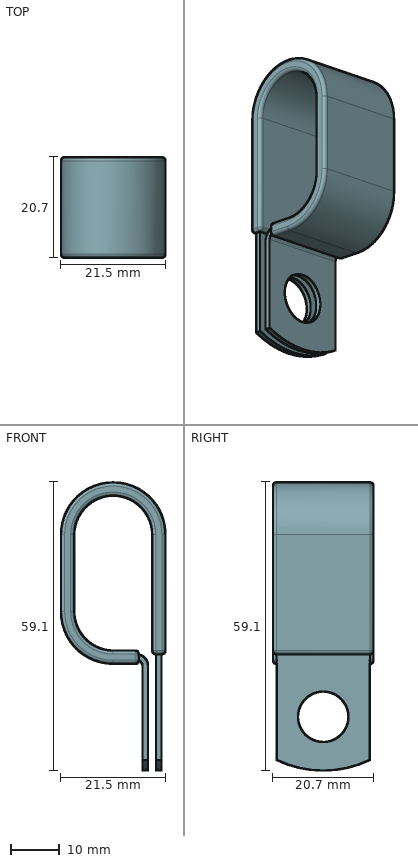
import cadquery as cq
import math

total_height = 59.15
loop_width = 21.45
cushion_depth = 20.65

cushion_thickness = 2.8
edge_radius = 0.75
side_straight = 15.8
lower_arm = 5.25
right_leg = 24.55

strap_thickness = 1.2
tab_gap = 1.6
tab_bend_radius = 1.8
tab_end_sagitta = 2.2
hole_diameter = 10.3
hole_height = 11.05

outer_radius = loop_width / 2
mid_radius = outer_radius - cushion_thickness / 2
strap_depth = cushion_depth - 2 * edge_radius
tab_bottom = outer_radius - total_height
lower_arm_z = -side_straight - mid_radius
tab_spacing = strap_thickness + tab_gap
left_tab_x = mid_radius - tab_spacing


def cushion_band():
    """Band around the loop from the right leg to the end of the lower arm."""
    outer = outer_radius
    inner = outer_radius - cushion_thickness
    diagonal = math.sqrt(0.5)
    return (
        cq.Workplane("XZ")
        .moveTo(outer, -right_leg)
        .lineTo(outer, 0)
        .threePointArc((0, outer), (-outer, 0))
        .lineTo(-outer, -side_straight)
        .threePointArc((-outer * diagonal, -side_straight - outer * diagonal), (0, -side_straight - outer))
        .lineTo(lower_arm, -side_straight - outer)
        .lineTo(lower_arm, -side_straight - inner)
        .lineTo(0, -side_straight - inner)
        .threePointArc((-inner * diagonal, -side_straight - inner * diagonal), (-inner, -side_straight))
        .lineTo(-inner, 0)
        .threePointArc((0, inner), (inner, 0))
        .lineTo(inner, -right_leg)
        .close()
        .extrude(cushion_depth / 2, both=True)
    )


def rounded_cushion():
    """Cushion band with both rims and both end faces rounded."""
    band = cushion_band()
    leg_end = cq.selectors.NearestToPointSelector((mid_radius, 0, -right_leg))
    arm_end = cq.selectors.NearestToPointSelector((lower_arm, 0, lower_arm_z))
    rims = band.faces("<Y or >Y").edges()
    ends = band.faces(leg_end).edges("|Y").add(band.faces(arm_end).edges("|Y"))
    return rims.add(ends).fillet(edge_radius)


def left_tab():
    """Tab that leaves the lower arm and bends down through a right angle."""
    bend_start_x = left_tab_x - tab_bend_radius
    bend_z = lower_arm_z - tab_bend_radius
    path = (
        cq.Workplane("XZ")
        .moveTo(0, lower_arm_z)
        .lineTo(bend_start_x, lower_arm_z)
        .radiusArc((left_tab_x, bend_z), tab_bend_radius)
        .lineTo(left_tab_x, tab_bottom)
    )
    section = cq.Workplane("YZ").center(0, lower_arm_z).rect(strap_depth, strap_thickness)
    return section.sweep(path)


def right_tab():
    """Straight tab continuing down from the right leg."""
    height = -tab_bottom
    tab = cq.Workplane("XY").box(strap_thickness, strap_depth, height)
    return tab.translate((mid_radius, 0, -height / 2))


def tab_outline():
    """Envelope with the curved lower end and the bolt hole, across both tabs."""
    half = strap_depth / 2
    corner_z = tab_bottom + tab_end_sagitta
    return (
        cq.Workplane("YZ")
        .moveTo(-half, 0)
        .lineTo(-half, corner_z)
        .threePointArc((0, tab_bottom), (half, corner_z))
        .lineTo(half, 0)
        .close()
        .moveTo(0, tab_bottom + hole_height)
        .circle(hole_diameter / 2)
        .extrude(loop_width)
    )


tabs = left_tab().union(right_tab()).intersect(tab_outline())
result = rounded_cushion().union(tabs)